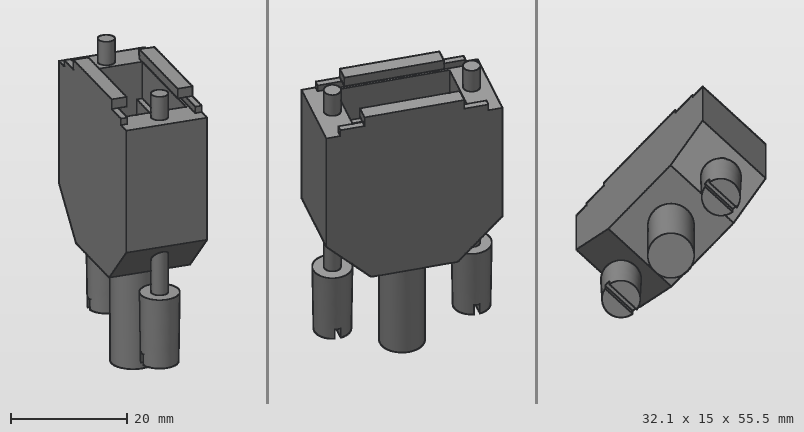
import cadquery as cq

hood_width = 31.7
hood_depth = 15.0
hood_bottom_z = 20.0
hood_shoulder_z = 28.0
hood_top_z = 51.05
hood_bottom_width = 15.6

rail_length = 26.65
rail_thickness = 1.2
rail_top_z = 52.3
lip_length = 17.9
lip_thickness = 2.8
lip_top_z = 54.1

cavity_width = 20.55
cavity_upper_depth = 11.55
cavity_lower_depth = 9.5
cavity_ledge_z = 44.1
cavity_floor_z = hood_shoulder_z

cable_diameter = 8.0
cable_overlap = 0.55

total_height = 55.5
screw_spacing = 25.05
shank_diameter = 3.0
knob_top_diameter = 7.0
knob_bottom_diameter = 6.6
knob_top_z = 18.05
knob_bottom_z = 5.0
slot_width = 1.05
slot_depth = 2.0


def block(width, depth, bottom_z, top_z, center_y=0):
    """Upright box centred on X = 0."""
    height = top_z - bottom_z
    return cq.Workplane("XY").box(width, depth, height, centered=(True, True, False)).translate(
        (0, center_y, bottom_z)
    )


def hood():
    half_width = hood_width / 2
    half_bottom = hood_bottom_width / 2
    return (
        cq.Workplane("XZ")
        .polyline([
            (-half_bottom, hood_bottom_z),
            (half_bottom, hood_bottom_z),
            (half_width, hood_shoulder_z),
            (half_width, hood_top_z),
            (-half_width, hood_top_z),
            (-half_width, hood_shoulder_z),
        ])
        .close()
        .extrude(hood_depth / 2, both=True)
    )


def cavity():
    upper = block(cavity_width, cavity_upper_depth, cavity_ledge_z, hood_top_z)
    lower = block(cavity_width, cavity_lower_depth, cavity_floor_z, cavity_ledge_z)
    return upper.union(lower)


def lipped_rail(side):
    """Rail on the front (side = -1) or back (side = 1) edge, with its inward lip."""
    rail_y = side * (hood_depth - rail_thickness) / 2
    lip_y = side * (hood_depth - lip_thickness) / 2
    rail = block(rail_length, rail_thickness, hood_top_z, rail_top_z, rail_y)
    lip = block(lip_length, lip_thickness, rail_top_z, lip_top_z, lip_y)
    return rail.union(lip)


def cable():
    return cq.Workplane("XY").circle(cable_diameter / 2).extrude(hood_bottom_z + cable_overlap)


def jack_screw():
    shank = (
        cq.Workplane("XY", origin=(0, 0, knob_top_z))
        .circle(shank_diameter / 2)
        .extrude(total_height - knob_top_z)
    )
    knob = (
        cq.Workplane("XY", origin=(0, 0, knob_bottom_z))
        .circle(knob_bottom_diameter / 2)
        .workplane(offset=knob_top_z - knob_bottom_z)
        .circle(knob_top_diameter / 2)
        .loft(ruled=True)
    )
    slot = block(slot_width, knob_top_diameter, knob_bottom_z, knob_bottom_z + slot_depth)
    return knob.cut(slot).union(shank)


result = hood().cut(cavity()).union(cable())
for side in (-1, 1):
    result = result.union(lipped_rail(side))
    result = result.union(jack_screw().translate((side * screw_spacing / 2, 0, 0)))